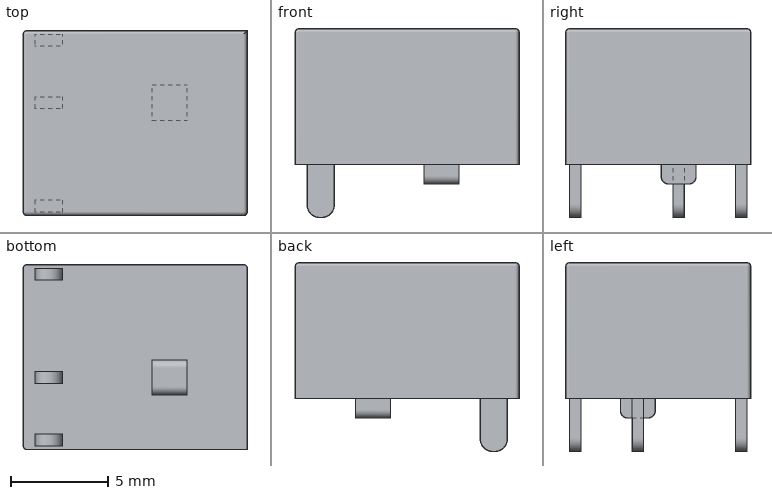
import cadquery as cq

HOUSING_LENGTH = 11.5
HOUSING_WIDTH = 9.5
HOUSING_HEIGHT = 6.98
HOUSING_EDGE_RADIUS = 0.2

PIN_WIDTH = 1.4
PIN_THICKNESS = 0.6
PIN_LENGTH = 2.71
PIN_TIP_RADIUS = 0.65
PIN_CENTER_X = 1.31
OUTER_PIN_INSET = 0.5
MIDDLE_PIN_Y = 5.8
PIN_CENTERS_Y = [OUTER_PIN_INSET, MIDDLE_PIN_Y, HOUSING_WIDTH - OUTER_PIN_INSET]

STUD_SIDE = 1.8
STUD_LENGTH = 1.0
STUD_EDGE_RADIUS = 0.4
STUD_CENTER_X = 7.51
STUD_CENTER_Y = MIDDLE_PIN_Y


def hanging_block(size_x, size_y, depth):
    """Block centred on the Z axis that hangs down from Z = 0."""
    return cq.Workplane("XY").box(size_x, size_y, depth, centered=(True, True, False)).translate((0, 0, -depth))


def make_housing():
    """Block with a rounded top rim and three rounded corners; the +X +Y corner stays sharp."""
    block = cq.Workplane("XY").box(HOUSING_LENGTH, HOUSING_WIDTH, HOUSING_HEIGHT, centered=False)
    sharp_corner = cq.selectors.NearestToPointSelector((HOUSING_LENGTH, HOUSING_WIDTH, HOUSING_HEIGHT / 2))
    rounded_edges = cq.selectors.SubtractSelector(cq.StringSyntaxSelector("|Z or >Z"), sharp_corner)
    return block.edges(rounded_edges).fillet(HOUSING_EDGE_RADIUS)


def make_pin(center_y):
    """Flat pin with a rounded tip, touching the underside of the housing."""
    pin = hanging_block(PIN_WIDTH, PIN_THICKNESS, PIN_LENGTH)
    return pin.edges("<Z and |Y").fillet(PIN_TIP_RADIUS).translate((PIN_CENTER_X, center_y, 0))


def make_stud():
    """Square stud whose two lower edges along X are rounded."""
    stud = hanging_block(STUD_SIDE, STUD_SIDE, STUD_LENGTH)
    return stud.edges("<Z and |X").fillet(STUD_EDGE_RADIUS).translate((STUD_CENTER_X, STUD_CENTER_Y, 0))


housing = make_housing()
pins = [make_pin(center_y) for center_y in PIN_CENTERS_Y]
stud = make_stud()

result = cq.Compound.makeCompound([housing.val(), *[pin.val() for pin in pins], stud.val()])